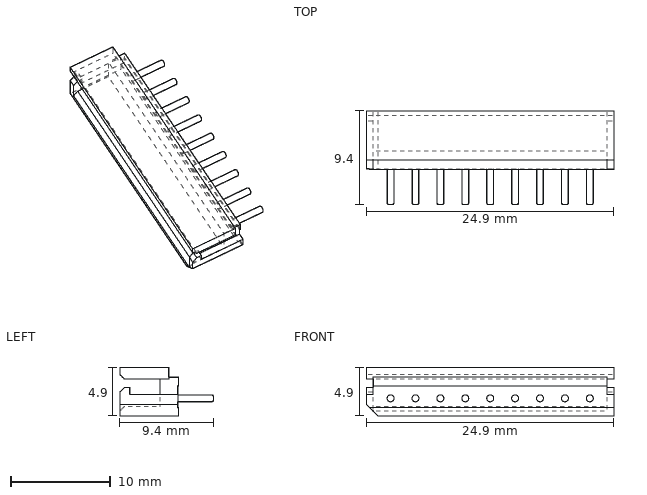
import cadquery as cq

length = 24.9
height = 4.9
body_depth = 5.9
total_depth = 9.4

plate_depth = 4.93
plate_underside = 3.7
lead_in = 0.47

wall_inner_depth = 4.0
wall_top = 3.93
end_inset = 0.7

relief = 0.07
relief_bottom = 0.87
relief_top = 3.05

floor_thickness = 1.0
rail_top = 2.2
hook_top = 2.9
hook_depth = 1.0
corner_chamfer = 1.2

pin_count = 9
pin_diameter = 0.7
pin_height = 1.8
pin_end_margin = 2.45
pin_tip_radius = 0.17

front_y = -body_depth
wall_inner_y = -wall_inner_depth
relief_y = front_y + relief
pin_pitch = (length - 2 * pin_end_margin) / (pin_count - 1)


def box(x_range, y_range, z_range):
    """Axis-aligned block between the given limits."""
    (x0, x1), (y0, y1), (z0, z1) = x_range, y_range, z_range
    return cq.Workplane("XY").box(x1 - x0, y1 - y0, z1 - z0, centered=False).translate((x0, y0, z0))


def side_profile(points, start_x, end_x):
    """Extrude a YZ outline along X between the given limits."""
    return cq.Workplane("YZ", origin=(start_x, 0, 0)).polyline(points).close().extrude(end_x - start_x)


def top_plate():
    outline = [
        (0, height),
        (-plate_depth, height),
        (-plate_depth, plate_underside),
        (-lead_in, plate_underside),
        (0, plate_underside + lead_in),
    ]
    return side_profile(outline, 0, length)


def upper_wall():
    """Narrower wall above the rails that joins the base to the top plate."""
    return box((end_inset, length - end_inset), (front_y, wall_inner_y), (rail_top, wall_top))


def base():
    """Front wall and floor, with a hooked rail at each end of a cavity with a bevelled mouth."""
    outline = [
        (0, 0),
        (front_y, 0),
        (front_y, rail_top),
        (-hook_depth, rail_top),
        (-hook_depth, hook_top),
        (-lead_in, hook_top),
        (0, hook_top - lead_in),
    ]
    cavity_outline = [
        (wall_inner_y, floor_thickness),
        (-lead_in, floor_thickness),
        (0, floor_thickness - lead_in),
        (0, hook_top),
        (wall_inner_y, hook_top),
    ]
    cavity = side_profile(cavity_outline, end_inset, length - end_inset)
    return side_profile(outline, 0, length).cut(cavity)


def corner_cut():
    """Bevel along the lower -X edge, marking the first pin."""
    triangle = cq.Workplane("XZ").polyline([(0, 0), (corner_chamfer, 0), (0, corner_chamfer)]).close()
    return triangle.extrude(body_depth)


def pin(x):
    """Pin rooted in the front wall, with a rounded free end."""
    root = cq.Workplane("XZ", origin=(x, wall_inner_y, pin_height))
    shaft = root.circle(pin_diameter / 2).extrude(total_depth - wall_inner_depth)
    return shaft.faces("<Y").fillet(pin_tip_radius)


relief_band = box((0, length), (front_y, relief_y), (relief_bottom, relief_top))

result = base().union(upper_wall()).union(top_plate())
result = result.cut(relief_band).cut(corner_cut())
for index in range(pin_count):
    result = result.union(pin(pin_end_margin + index * pin_pitch))